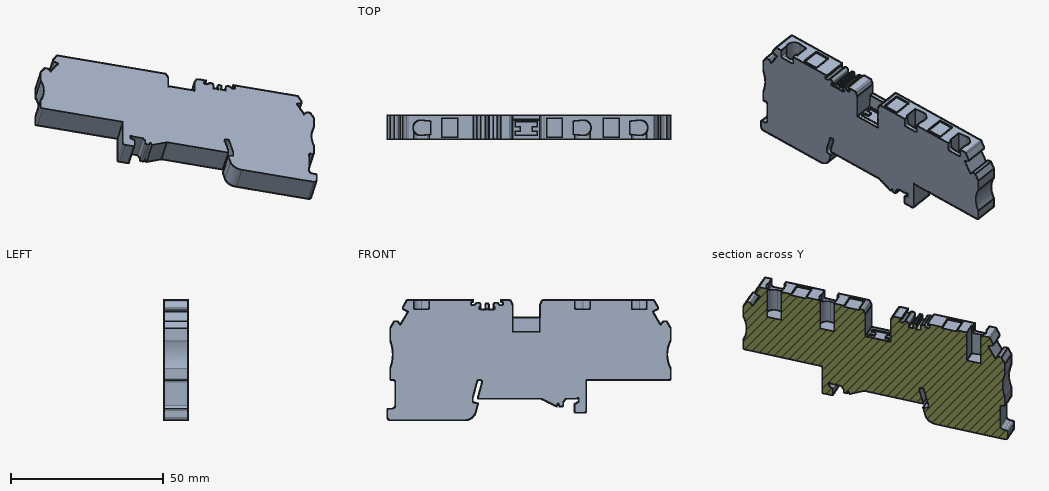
import cadquery as cq
import math

LENGTH = 93.0
THICKNESS = 8.0
HEIGHT = 39.5

BODY_LEFT = 0.9
BODY_MIRROR_SUM = BODY_LEFT + LENGTH
BODY_BOTTOM = 13.2
RAIL_LEVEL = 7.1
SMALL_RADIUS = 0.6

SHOULDER_FOOT_Z = 30.3
SHOULDER_LEFT = 2.2
SHOULDER_RIGHT = 3.4
SHOULDER_TOP = 32.55
NOTCH_LOWER_CORNER = (4.3, 31.4)
NOTCH_UPPER_CORNER = (6.8, 35.7)
NOSE_TIP = (4.8, 36.6)
NOSE_FRONT = (5.1, 37.2)
TOP_LEFT = 6.4
TOP_EDGE_RADIUS = 0.5

GRIP_CENTER_Z = 21.7
GRIP_HALF_HEIGHT = 4.6
LEFT_GRIP_DEPTH = 0.8
RIGHT_GRIP_DEPTH = 1.1

FOOT_TAB_TOP = 3.9
FOOT_WAIST_X = 2.6
FOOT_BEND_RADIUS = 1.1
FOOT_HEEL_RADIUS = 3.9
SLOT_TILT = math.tan(math.radians(15))
SLOT_BACK_X = 28.1
SLOT_BACK_Z = 7.4
SLOT_MOUTH_X = 29.8
SLOT_MOUTH_Z = 7.7
SLOT_MOUTH_RADIUS = 0.3
SLOT_BOTTOM_Z = 6.0
SLOT_BOTTOM_RADIUS = 0.2
HEEL_TIP_X = 29.85
HEEL_TIP_Z = 5.6

HOOK_LEFT = 61.4
HOOK_RIGHT = 65.3
HOOK_BOTTOM = 2.5
HOOK_TIP_Z = 5.4
HOOK_TIP_RADIUS = 0.2
HOOK_THROAT_X = 62.8
HOOK_THROAT_Z = 6.1
HOOK_THROAT_RADIUS = 0.4
RELIEF_LEFT = 62.4
RELIEF_TOP = RAIL_LEVEL + 0.3

TEETH_TIP_Z = 4.6
TEETH_SLOPE_START = 50.5
LEFT_TOOTH_TIP_X = 55.5
NICK_X = 56.1
NICK_Z = 5.7
NICK_RADIUS = 0.1
RIGHT_TOOTH_LEFT = 56.45
RIGHT_TOOTH_RIGHT = 57.75
RIGHT_TOOTH_NECK_Z = 5.95
TEETH_ROOT_X = 58.6
TOOTH_TIP_RADII = (0.2, 0.5)
TOOTH_ROOT_RADIUS = 0.3

MARKER_X = 32.7
MARKER_FLOOR = 36.5
MARKER_HALF_WIDTH = 4.6
MARKER_HALF_FLOOR = 2.0
BARB_HALF_SPAN = 5.2
BARB_TOP = 38.8
BARB_BOTTOM = 37.85
BARB_RISE = 0.1
BARB_TOP_RADIUS = 0.4
BARB_BOTTOM_RADIUS = 0.5
RAMP_HALF_START = 4.2
RAMP_HALF_END = 3.35
RAMP_RADIUS = 0.3
MARKER_LIP_TOP = 38.7
MARKER_LIP_RADIUS = 0.9
MARKER_RIB_HALF_WIDTH = 0.65
MARKER_RIB_HALF_NECK = 0.4
MARKER_RIB_TOP = 38.4
MARKER_RIB_BEVEL = 0.4
MARKER_RIB_FOOT_BEVEL = 0.6

UNDERCUT_WIDTH = 0.6
UNDERCUT_HEIGHT = 0.8
UNDERCUT_LENGTH = 0.5

PIT_LEFT = 41.2
PIT_RIGHT = 50.0
PIT_FLOOR = 29.1
PIT_LEAD_IN_WIDTH = 0.7
PIT_LEAD_IN_DEPTH = 1.7
PIT_EDGE_RADIUS = 0.7
PIT_WALL_TOP = 33.85
PIT_WALL_FOOT_Y = 6.3
PIT_WALL_TOP_Y = 6.6

RECESS_DEPTH = 0.5
H_LENGTH = 7.3
H_FRONT = 1.3
H_BACK = 5.9
H_NOTCH_LENGTH = 1.7
H_NOTCH_WIDTH = 1.4
H_NOTCH_Y = 3.4

FUNNEL_RADIUS = 2.5
FUNNEL_Y = 3.8
FUNNEL_FLAT_LENGTH = 3.35
FUNNEL_TAPER = math.radians(6)
FUNNEL_DEPTH = 11.2
CHANNEL_DEPTH = 3.1
CHANNEL_WIDTH = 5.0
CHANNEL_REACH = 2.2
LEFT_FUNNEL_X = 11.0

LABEL_LENGTH = 5.2
LABEL_WIDTH = 6.1
LABEL_Y = 3.8
LEFT_LABEL_X = 20.5

RIGHT_SET_PITCH = 18.6


def rounded_profile(corners):
    """Closed XZ outline from (x, z, radius) corners, extruded through the thickness."""
    arcs = []
    for i, (x, z, radius) in enumerate(corners):
        corner = cq.Vector(x, z)
        to_previous = (cq.Vector(*corners[i - 1][:2]) - corner).normalized()
        to_next = (cq.Vector(*corners[(i + 1) % len(corners)][:2]) - corner).normalized()
        half_angle = to_previous.getAngle(to_next) / 2
        setback = radius / math.tan(half_angle)
        bisector = (to_previous + to_next).normalized()
        middle = corner + bisector * (radius / math.sin(half_angle) - radius)
        arcs.append((corner + to_previous * setback, middle, corner + to_next * setback, radius))

    outline = cq.Workplane("XZ").moveTo(arcs[0][2].x, arcs[0][2].y)
    for start, middle, end, radius in arcs[1:] + arcs[:1]:
        outline = outline.lineTo(start.x, start.y)
        if radius > 0:
            outline = outline.threePointArc((middle.x, middle.y), (end.x, end.y))
    return outline.close().extrude(-THICKNESS)


def box(x_min, x_max, y_min, y_max, z_min, z_max):
    size = (x_max - x_min, y_max - y_min, z_max - z_min)
    return cq.Workplane("XY").box(*size, centered=False).translate((x_min, y_min, z_min))


def cylinder_across(x, z, radius):
    return cq.Workplane("XZ").center(x, z).circle(radius).extrude(-THICKNESS)


def mirrored(corners, mirror_sum):
    """The same corners reflected in X, in reverse order."""
    return [(mirror_sum - x, z, radius) for x, z, radius in reversed(corners)]


def body():
    left_end = [
        (BODY_LEFT, BODY_BOTTOM, SMALL_RADIUS),
        (BODY_LEFT, SHOULDER_FOOT_Z, 0),
        (SHOULDER_LEFT, SHOULDER_TOP, 0),
        (SHOULDER_RIGHT, SHOULDER_TOP, SMALL_RADIUS),
        (*NOTCH_LOWER_CORNER, 0),
        (*NOTCH_UPPER_CORNER, 0),
        (*NOSE_TIP, SMALL_RADIUS),
        (*NOSE_FRONT, 0),
        (TOP_LEFT, HEIGHT, TOP_EDGE_RADIUS),
    ]
    pit = [
        (PIT_LEFT - PIT_LEAD_IN_WIDTH, HEIGHT, PIT_EDGE_RADIUS),
        (PIT_LEFT, HEIGHT - PIT_LEAD_IN_DEPTH, 0),
        (PIT_LEFT, PIT_FLOOR, 0),
        (PIT_RIGHT, PIT_FLOOR, 0),
        (PIT_RIGHT, HEIGHT - PIT_LEAD_IN_DEPTH, 0),
        (PIT_RIGHT + PIT_LEAD_IN_WIDTH, HEIGHT, PIT_EDGE_RADIUS),
    ]
    hook = [
        (HOOK_RIGHT, BODY_BOTTOM, 0),
        (HOOK_RIGHT, HOOK_BOTTOM, SMALL_RADIUS),
        (HOOK_LEFT, HOOK_BOTTOM, SMALL_RADIUS),
        (HOOK_LEFT, HOOK_TIP_Z, HOOK_TIP_RADIUS),
        (HOOK_THROAT_X, HOOK_THROAT_Z, HOOK_THROAT_RADIUS),
        (HOOK_THROAT_X, RELIEF_TOP, HOOK_TIP_RADIUS),
        (RELIEF_LEFT, RELIEF_TOP, 0),
        (RELIEF_LEFT, RAIL_LEVEL, 0),
    ]
    latch_teeth = [
        (TEETH_ROOT_X, RAIL_LEVEL, TOOTH_ROOT_RADIUS),
        (RIGHT_TOOTH_RIGHT, RIGHT_TOOTH_NECK_Z, TOOTH_ROOT_RADIUS),
        (RIGHT_TOOTH_RIGHT, TEETH_TIP_Z, TOOTH_TIP_RADII[1]),
        (RIGHT_TOOTH_LEFT, TEETH_TIP_Z, TOOTH_TIP_RADII[0]),
        (NICK_X, NICK_Z, NICK_RADIUS),
        (LEFT_TOOTH_TIP_X, TEETH_TIP_Z, 0),
        (TEETH_SLOPE_START, RAIL_LEVEL, 0),
    ]
    slot_top_rise = BODY_BOTTOM - SLOT_BACK_Z
    mouth_top_rise = BODY_BOTTOM - SLOT_MOUTH_Z
    spring_slot = [
        (SLOT_MOUTH_X, RAIL_LEVEL, SLOT_MOUTH_RADIUS),
        (SLOT_MOUTH_X, SLOT_MOUTH_Z, 0),
        (SLOT_MOUTH_X + mouth_top_rise * SLOT_TILT, BODY_BOTTOM, SMALL_RADIUS),
        (SLOT_BACK_X + slot_top_rise * SLOT_TILT, BODY_BOTTOM, SMALL_RADIUS),
        (SLOT_BACK_X, SLOT_BACK_Z, 0),
        (SLOT_BACK_X, SLOT_BOTTOM_Z, SLOT_BOTTOM_RADIUS),
    ]
    foot = [
        (HEEL_TIP_X, HEEL_TIP_Z, 0),
        (HEEL_TIP_X - HEEL_TIP_Z * SLOT_TILT, 0, FOOT_HEEL_RADIUS),
        (0, 0, FOOT_BEND_RADIUS),
        (0, FOOT_TAB_TOP, SMALL_RADIUS),
        (FOOT_WAIST_X, FOOT_TAB_TOP, FOOT_BEND_RADIUS),
        (FOOT_WAIST_X, BODY_BOTTOM, SMALL_RADIUS),
    ]
    right_end = mirrored(left_end, BODY_MIRROR_SUM)
    return rounded_profile(left_end + pit + right_end + hook + latch_teeth + spring_slot + foot)


def grip(edge_x, depth, outward):
    """Cylinder that bites an arch of the given depth into a body end."""
    radius = (GRIP_HALF_HEIGHT**2 + depth**2) / (2 * depth)
    return cylinder_across(edge_x + outward * (radius - depth), GRIP_CENTER_Z, radius)


def marker_groove():
    left_half = [
        (MARKER_X - MARKER_HALF_WIDTH, HEIGHT, 0),
        (MARKER_X - MARKER_HALF_WIDTH, BARB_TOP + BARB_RISE, 0),
        (MARKER_X - BARB_HALF_SPAN, BARB_TOP, BARB_TOP_RADIUS),
        (MARKER_X - BARB_HALF_SPAN, BARB_BOTTOM, BARB_BOTTOM_RADIUS),
        (MARKER_X - RAMP_HALF_START, BARB_BOTTOM, RAMP_RADIUS),
        (MARKER_X - RAMP_HALF_END, MARKER_LIP_TOP, 0),
        (MARKER_X - MARKER_HALF_FLOOR, MARKER_LIP_TOP, MARKER_LIP_RADIUS),
        (MARKER_X - MARKER_HALF_FLOOR, MARKER_FLOOR, 0),
    ]
    groove = rounded_profile(left_half + mirrored(left_half, 2 * MARKER_X))
    left_rib_half = [
        (MARKER_X - MARKER_RIB_HALF_NECK, MARKER_FLOOR, 0),
        (MARKER_X - MARKER_RIB_HALF_WIDTH, MARKER_FLOOR + MARKER_RIB_FOOT_BEVEL, 0),
        (MARKER_X - MARKER_RIB_HALF_WIDTH, MARKER_RIB_TOP - MARKER_RIB_BEVEL, 0),
        (MARKER_X - MARKER_RIB_HALF_NECK, MARKER_RIB_TOP, 0),
    ]
    rib = rounded_profile(left_rib_half + mirrored(left_rib_half, 2 * MARKER_X))
    undercut_half = MARKER_HALF_FLOOR + UNDERCUT_WIDTH
    undercut = box(
        MARKER_X - undercut_half, MARKER_X + undercut_half,
        0, UNDERCUT_LENGTH, MARKER_FLOOR, MARKER_FLOOR + UNDERCUT_HEIGHT,
    )
    return groove.union(undercut).cut(rib)


def pit_wall():
    wall_section = [
        (PIT_WALL_FOOT_Y, PIT_FLOOR),
        (THICKNESS, PIT_FLOOR),
        (THICKNESS, PIT_WALL_TOP),
        (PIT_WALL_TOP_Y, PIT_WALL_TOP),
    ]
    wall_plane = cq.Workplane("YZ", origin=(PIT_LEFT, 0, 0))
    return wall_plane.polyline(wall_section).close().extrude(PIT_RIGHT - PIT_LEFT)


def pit_floor_recess():
    left = (PIT_LEFT + PIT_RIGHT - H_LENGTH) / 2
    right = left + H_LENGTH
    bottom = PIT_FLOOR - RECESS_DEPTH
    recess = box(left, right, H_FRONT, H_BACK, bottom, PIT_FLOOR)
    notch_front = H_NOTCH_Y - H_NOTCH_WIDTH / 2
    notch_back = H_NOTCH_Y + H_NOTCH_WIDTH / 2
    for notch_left in (left, right - H_NOTCH_LENGTH):
        notch_right = notch_left + H_NOTCH_LENGTH
        recess = recess.cut(box(notch_left, notch_right, notch_front, notch_back, bottom, PIT_FLOOR))
    return recess


def wire_funnel(x, flat_side):
    """Funnel whose round end is centred at x; flat_side is +1 or -1, the X direction of its flat end."""
    flat_x = x + flat_side * FUNNEL_FLAT_LENGTH
    tangent_x = x + flat_side * FUNNEL_RADIUS * math.sin(FUNNEL_TAPER)
    tangent_half = FUNNEL_RADIUS * math.cos(FUNNEL_TAPER)
    flat_half = tangent_half - abs(flat_x - tangent_x) * math.tan(FUNNEL_TAPER)
    shaft = (
        cq.Workplane("XY", origin=(0, 0, HEIGHT))
        .moveTo(tangent_x, FUNNEL_Y + tangent_half)
        .threePointArc((x - flat_side * FUNNEL_RADIUS, FUNNEL_Y), (tangent_x, FUNNEL_Y - tangent_half))
        .lineTo(flat_x, FUNNEL_Y - flat_half)
        .lineTo(flat_x, FUNNEL_Y + flat_half)
        .close()
        .extrude(-FUNNEL_DEPTH)
    )
    channel_near = x - flat_side * CHANNEL_REACH
    channel_far = channel_near + flat_side * CHANNEL_WIDTH
    channel = box(
        min(channel_near, channel_far), max(channel_near, channel_far),
        0, FUNNEL_Y, HEIGHT - CHANNEL_DEPTH, HEIGHT,
    )
    channel = channel.faces("<Z").edges("|Y").fillet(SMALL_RADIUS)
    return shaft.union(channel)


def label_recess(x):
    half_length = LABEL_LENGTH / 2
    half_width = LABEL_WIDTH / 2
    return box(
        x - half_length, x + half_length,
        LABEL_Y - half_width, LABEL_Y + half_width,
        HEIGHT - RECESS_DEPTH, HEIGHT,
    )


right_funnel_x = BODY_MIRROR_SUM - LEFT_FUNNEL_X
right_label_x = BODY_MIRROR_SUM - LEFT_LABEL_X

result = body()
result = result.cut(grip(BODY_LEFT, LEFT_GRIP_DEPTH, -1))
result = result.cut(grip(LENGTH, RIGHT_GRIP_DEPTH, 1))
result = result.cut(marker_groove())
result = result.union(pit_wall()).cut(pit_floor_recess())

result = result.cut(wire_funnel(LEFT_FUNNEL_X, 1))
for funnel_x in (right_funnel_x - RIGHT_SET_PITCH, right_funnel_x):
    result = result.cut(wire_funnel(funnel_x, -1))

for label_x in (LEFT_LABEL_X, right_label_x - RIGHT_SET_PITCH, right_label_x):
    result = result.cut(label_recess(label_x))